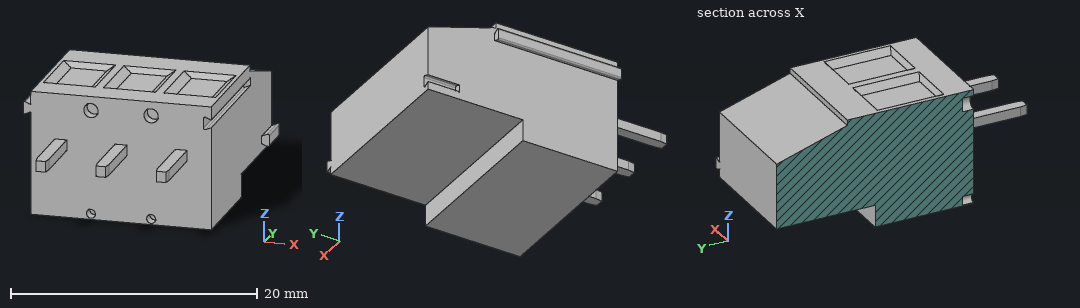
import cadquery as cq

POLES = 3
PITCH = 5.08
WIDTH = POLES * PITCH
LENGTH = 18.0
HEIGHT = 10.5
FOOT_LENGTH = 9.0
STEP_HEIGHT = 2.0
ROOF_LENGTH = 11.55
ROOF_STEP = 0.5
BACK_HEIGHT = 8.0

RAIL_DEPTH = 0.65
RAIL_ROOT = 0.64
RAIL_FLARE = 0.28
RAIL_ROUNDING = 0.13
FRONT_RAIL_Z = 9.05
FRONT_RAIL_LENGTH = 11.7
BACK_RAIL_Z = 3.05
BACK_RAIL_LENGTH = 3.0

POCKET_WIDTH = 4.38
POCKET_FLOOR_WIDTH = 3.0
POCKET_FRONT, POCKET_BACK = 2.55, 8.6
POCKET_FLOOR_FRONT, POCKET_FLOOR_BACK = 2.85, 8.35
POCKET_DEPTH = 0.5

UPPER_HOLE_DIAMETER = 1.2
UPPER_HOLE_Z = 9.3
LOWER_HOLE_DIAMETER = 0.75
LOWER_HOLE_Z = 0.5
HOLE_DEPTH = 1.0

PIN_WIDTH = 1.0
PIN_THICKNESS = 0.9
PIN_LENGTH = 6.0
PIN_Z = 6.17
PIN_TIP_LENGTH = 0.65
PIN_TIP_WIDTH = 0.8

POLE_POSITIONS = [(i - (POLES - 1) / 2) * PITCH for i in range(POLES)]
GAP_POSITIONS = [x + PITCH / 2 for x in POLE_POSITIONS[:-1]]


def make_housing():
    """Stepped side profile extruded across the full width."""
    profile = [
        (0, 0),
        (FOOT_LENGTH, 0),
        (FOOT_LENGTH, STEP_HEIGHT),
        (LENGTH, STEP_HEIGHT),
        (LENGTH, BACK_HEIGHT),
        (ROOF_LENGTH, HEIGHT - ROOF_STEP),
        (ROOF_LENGTH, HEIGHT),
        (0, HEIGHT),
    ]
    return cq.Workplane("YZ").polyline(profile).close().extrude(WIDTH / 2, both=True)


def make_dovetail(root_x, direction, z, start_y, length):
    """Bar along Y that widens from root_x towards direction (+1 or -1 along X)."""
    tip_x = root_x + direction * RAIL_DEPTH
    root_half = RAIL_ROOT / 2
    tip_half = root_half + RAIL_FLARE
    profile = [
        (root_x, z - root_half),
        (tip_x, z - tip_half),
        (tip_x, z + tip_half),
        (root_x, z + root_half),
    ]
    bar = cq.Workplane("XZ", origin=(0, start_y, 0)).polyline(profile).close().extrude(-length)
    tip_side = ">X" if direction > 0 else "<X"
    return bar.faces(tip_side).edges("|Y").fillet(RAIL_ROUNDING)


def add_dovetails(body):
    """Each rail on one side has a matching groove on the other side."""
    half = WIDTH / 2
    back_start = LENGTH - BACK_RAIL_LENGTH
    body = body.cut(make_dovetail(half, -1, FRONT_RAIL_Z, 0, FRONT_RAIL_LENGTH))
    body = body.cut(make_dovetail(-half, 1, BACK_RAIL_Z, back_start, BACK_RAIL_LENGTH))
    body = body.union(make_dovetail(-half, -1, FRONT_RAIL_Z, 0, FRONT_RAIL_LENGTH))
    return body.union(make_dovetail(half, 1, BACK_RAIL_Z, back_start, BACK_RAIL_LENGTH))


def make_pocket(x):
    """Shallow rectangular pocket with sloping walls."""
    floor_offset = (POCKET_FLOOR_FRONT + POCKET_FLOOR_BACK - POCKET_FRONT - POCKET_BACK) / 2
    return (
        cq.Workplane("XY", origin=(x, (POCKET_FRONT + POCKET_BACK) / 2, HEIGHT))
        .rect(POCKET_WIDTH, POCKET_BACK - POCKET_FRONT)
        .workplane(offset=-POCKET_DEPTH)
        .center(0, floor_offset)
        .rect(POCKET_FLOOR_WIDTH, POCKET_FLOOR_BACK - POCKET_FLOOR_FRONT)
        .loft(ruled=True)
    )


def make_face_hole(x, z, diameter):
    """Blind hole running from the pin face into the housing."""
    return cq.Workplane("XZ", origin=(x, 0, z)).circle(diameter / 2).extrude(-HOLE_DEPTH)


def make_pin(x):
    """Rectangular pin along -Y whose tip narrows in width."""
    shoulder_y = PIN_TIP_LENGTH - PIN_LENGTH
    outline = [
        (x - PIN_WIDTH / 2, 0),
        (x - PIN_WIDTH / 2, shoulder_y),
        (x - PIN_TIP_WIDTH / 2, -PIN_LENGTH),
        (x + PIN_TIP_WIDTH / 2, -PIN_LENGTH),
        (x + PIN_WIDTH / 2, shoulder_y),
        (x + PIN_WIDTH / 2, 0),
    ]
    plane = cq.Workplane("XY", origin=(0, 0, PIN_Z - PIN_THICKNESS / 2))
    return plane.polyline(outline).close().extrude(PIN_THICKNESS)


result = add_dovetails(make_housing())
for pole_x in POLE_POSITIONS:
    result = result.cut(make_pocket(pole_x))
    result = result.union(make_pin(pole_x))
for gap_x in GAP_POSITIONS:
    result = result.cut(make_face_hole(gap_x, UPPER_HOLE_Z, UPPER_HOLE_DIAMETER))
    result = result.cut(make_face_hole(gap_x, LOWER_HOLE_Z, LOWER_HOLE_DIAMETER))